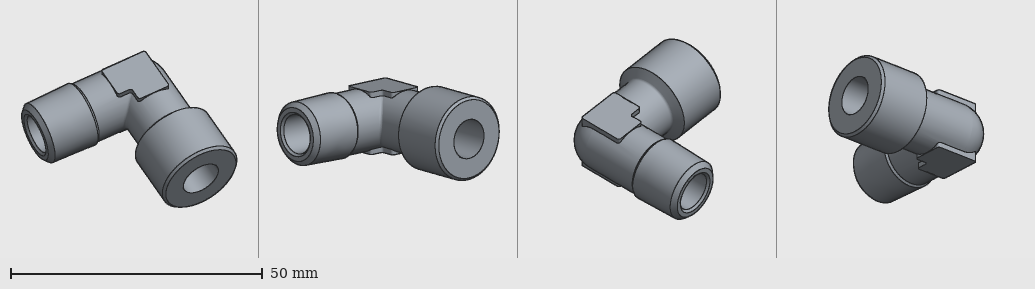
import cadquery as cq

tube_radius = 6.3
bore_radius = 4.0

male_length = 23.5
male_neck_length = 12.4
male_step_length = 0.48
male_base_radius = 6.7
male_tip_radius = 6.45
male_chamfer = 1.0
mouth_chamfer = 0.48

socket_end = 25.5
socket_radius = 8.5
socket_start = 14.0
shoulder_length = 1.25
shoulder_fillet = 0.5
socket_chamfer = 0.5

pad_height = 6.4
pad_half_width = 3.48
pad_reach = 6.5
pad_corner_radius = 0.5

crotch_fillet = 0.5


def male_leg():
    """Tapered spigot with a chamfered tip."""
    base_y = -(male_neck_length + male_step_length)
    tip_y = -(male_length - male_chamfer)
    profile = (
        cq.Workplane("XY")
        .lineTo(tube_radius, 0)
        .lineTo(tube_radius, -male_neck_length)
        .lineTo(male_base_radius, base_y)
        .lineTo(male_tip_radius, tip_y)
        .lineTo(male_tip_radius - male_chamfer, -male_length)
        .lineTo(0, -male_length)
        .close()
    )
    return profile.revolve(360, (0, 0), (0, 1))


def female_leg():
    """Tube widening through a conical shoulder into the socket body."""
    profile = (
        cq.Workplane("XY")
        .lineTo(0, tube_radius)
        .lineTo(socket_start - shoulder_length, tube_radius)
        .lineTo(socket_start, socket_radius)
        .lineTo(socket_end - socket_chamfer, socket_radius)
        .lineTo(socket_end, socket_radius - socket_chamfer)
        .lineTo(socket_end, 0)
        .close()
    )
    leg = profile.revolve(360, (0, 0), (1, 0))
    shoulder_middle = socket_start - shoulder_length / 2
    shoulder_root = cq.selectors.BoxSelector(
        (tube_radius, -socket_radius, -socket_radius),
        (shoulder_middle, socket_radius, socket_radius),
    )
    return leg.edges(shoulder_root).fillet(shoulder_fillet)


def pads():
    """L-shaped block whose top and bottom faces form the two pads."""
    return (
        cq.Workplane("XY")
        .workplane(offset=-pad_height)
        .moveTo(-pad_half_width, pad_half_width)
        .lineTo(pad_reach, pad_half_width)
        .lineTo(pad_reach, -pad_half_width)
        .lineTo(pad_half_width, -pad_half_width)
        .lineTo(pad_half_width, -pad_reach)
        .lineTo(-pad_half_width, -pad_reach)
        .close()
        .extrude(2 * pad_height)
        .edges("|Z")
        .fillet(pad_corner_radius)
    )


def bore():
    """Angled passage with a ball-shaped bend and a chamfered male mouth."""
    mouth_y = -(male_length - mouth_chamfer)
    male_bore = (
        cq.Workplane("XY")
        .lineTo(bore_radius, 0)
        .lineTo(bore_radius, mouth_y)
        .lineTo(bore_radius + mouth_chamfer, -male_length)
        .lineTo(0, -male_length)
        .close()
        .revolve(360, (0, 0), (0, 1))
    )
    female_bore = cq.Workplane("YZ").circle(bore_radius).extrude(socket_end)
    return male_bore.union(female_bore).union(cq.Workplane("XY").sphere(bore_radius))


def crotch_edge():
    """Selects the inner seam where the two tubes meet below the pads."""
    return cq.selectors.BoxSelector(
        (pad_half_width, -tube_radius, -pad_half_width),
        (tube_radius, -pad_half_width, pad_half_width),
    )


body = male_leg().union(female_leg()).union(cq.Workplane("XY").sphere(tube_radius))
body = body.union(pads())
body = body.edges(crotch_edge()).fillet(crotch_fillet)
result = body.cut(bore())